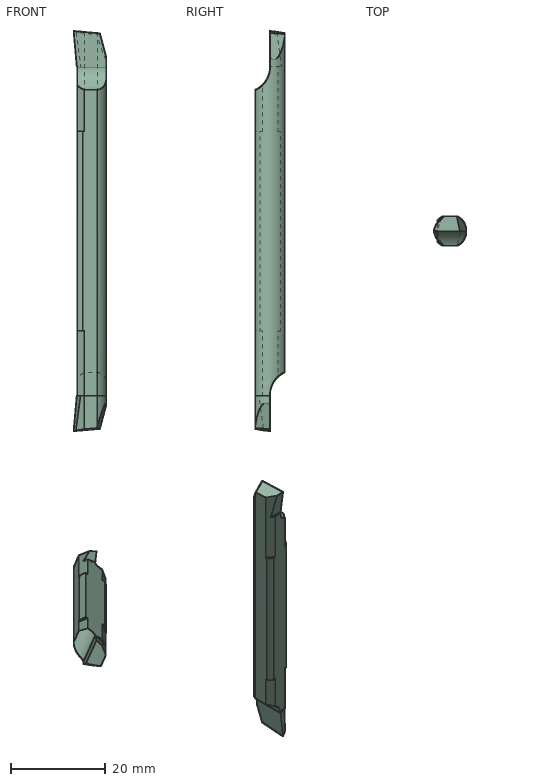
import cadquery as cq
import math

LENGTH = 85.0
RADIUS = 3.5
THICKNESS = 6.3
TIP_LENGTH = 7.5
BEVELLED_START = 21.15
SIDE_FLAT_X = -2.73
BEVEL_FLAT_WIDTH = 3.35
RAKE_Y = -0.02
RUNOUT_RADIUS = 5.3
RUNOUT_SETBACK = 0.2

FLANK_ANGLE = 5.0
END_ANGLE = 5.0
NOSE_ANGLE = 15.0
FLANK_RELIEF = 19.0
END_RELIEF = 5.0
NOSE_RELIEF = 13.0
NOSE_LENGTH = 5.7

HALF_LENGTH = LENGTH / 2
HALF_THICKNESS = THICKNESS / 2
TIP_START = HALF_LENGTH - TIP_LENGTH
OVERSIZE = 2 * RADIUS


def slope(degrees):
    """Rise over run of a line at the given angle."""
    return math.tan(math.radians(degrees))


def box_between(x_range, y_range, z_range):
    """Box filling the given X, Y and Z ranges."""
    low, high = zip(x_range, y_range, z_range)
    size = [b - a for a, b in zip(low, high)]
    return cq.Workplane("XY").box(*size, centered=False).translate(low)


def round_bar(z_low, z_high):
    """Round bar with flats facing +Y and -Y."""
    bar = cq.Workplane("XY").workplane(offset=z_low).circle(RADIUS).extrude(z_high - z_low)
    limits = box_between(
        (-OVERSIZE, OVERSIZE), (-HALF_THICKNESS, HALF_THICKNESS), (z_low, z_high)
    )
    return bar.intersect(limits)


def bevelled_bar(z_low, z_high):
    """Round bar with 45 degree bevels between the Y flats and the -X side."""
    apex_x = SIDE_FLAT_X - BEVEL_FLAT_WIDTH / 2
    reach = OVERSIZE - apex_x
    wedge = (
        cq.Workplane("XY")
        .workplane(offset=z_low)
        .polyline([(apex_x, 0), (OVERSIZE, reach), (OVERSIZE, -reach)])
        .close()
        .extrude(z_high - z_low)
    )
    return round_bar(z_low, z_high).intersect(wedge)


def turned_over(body):
    """Half turn about X, which carries the upper end onto the lower end."""
    return body.rotate((0, 0, 0), (1, 0, 0), 180)


def tip_outline(depth):
    """XZ corners of the tip at a given depth behind the rake face."""
    flank_slope = slope(FLANK_ANGLE)
    end_slope = slope(END_ANGLE)
    nose_slope = slope(NOSE_ANGLE)
    flank_x = -RADIUS + HALF_LENGTH * flank_slope + depth * slope(FLANK_RELIEF)
    end_z = HALF_LENGTH - RADIUS * end_slope - depth * slope(END_RELIEF)
    nose_x = RADIUS + (HALF_LENGTH - NOSE_LENGTH) * nose_slope - depth * slope(NOSE_RELIEF)

    flank_end_z = (end_z - flank_x * end_slope) / (1 - end_slope * flank_slope)
    nose_end_z = (end_z - nose_x * end_slope) / (1 - end_slope * nose_slope)
    return [
        (flank_x - TIP_START * flank_slope, TIP_START),
        (flank_x - flank_end_z * flank_slope, flank_end_z),
        (nose_x - nose_end_z * nose_slope, nose_end_z),
        (nose_x - TIP_START * nose_slope, TIP_START),
    ]


def make_tip():
    """Upper cutting tip: rake face toward -Y, relieved edges narrowing toward +Y."""
    tip_thickness = HALF_THICKNESS - RAKE_Y
    blank = (
        cq.Workplane("XZ", origin=(0, RAKE_Y, 0))
        .polyline(tip_outline(0))
        .close()
        .workplane(offset=-tip_thickness)
        .polyline(tip_outline(tip_thickness))
        .close()
        .loft(ruled=True)
    )
    return bevelled_bar(TIP_START, HALF_LENGTH).intersect(blank)


def make_runout_cut():
    """Concave run-out between the upper rake face and the -Y flat."""
    arc_start = TIP_START - RUNOUT_SETBACK
    arc_center_y = RAKE_Y - RUNOUT_RADIUS
    slot = box_between((-OVERSIZE, OVERSIZE), (2 * arc_center_y, RAKE_Y), (arc_start, TIP_START))
    arc = (
        cq.Workplane("YZ", origin=(-OVERSIZE, 0, 0))
        .center(arc_center_y, arc_start)
        .circle(RUNOUT_RADIUS)
        .extrude(2 * OVERSIZE)
    )
    return slot.union(arc)


def make_shank():
    """Double-ended bar with the side flat and both run-outs, without tips."""
    bevelled_end = bevelled_bar(BEVELLED_START, TIP_START)
    shank = (
        round_bar(-BEVELLED_START, BEVELLED_START)
        .union(bevelled_end)
        .union(turned_over(bevelled_end))
    )
    side_cut = box_between(
        (-OVERSIZE, SIDE_FLAT_X), (-OVERSIZE, OVERSIZE), (-TIP_START, TIP_START)
    )
    runout = make_runout_cut()
    return shank.cut(side_cut).cut(runout).cut(turned_over(runout))


upper_tip = make_tip()
boring_bar = make_shank().union(upper_tip).solids()
lower_tip = turned_over(upper_tip).solids()

result = cq.Compound.makeCompound([boring_bar.val(), lower_tip.val()])